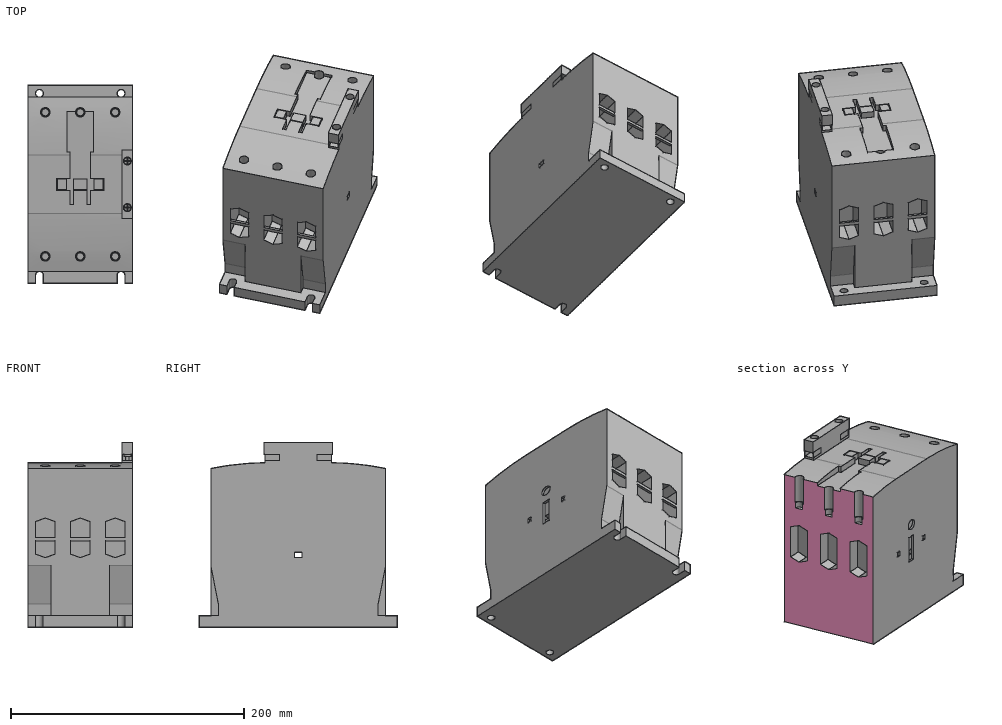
import cadquery as cq

WIDTH = 90.0
BASE_LENGTH = 170.0
BASE_HEIGHT = 10.0
MOUNT_X = 35.0
MOUNT_Y = 78.0
MOUNT_DIAMETER = 6.5

BODY_LENGTH = 150.0
ROOF_Z = 141.4
ROOF_RADIUS = 250.0
FLAT_HALF_LENGTH = 25.0

RELIEF_INNER_X = 25.0
RELIEF_DEPTH = 6.5
RELIEF_KNEE_Z = 20.0
RELIEF_TOP_Z = 52.9

POLE_PITCH = 30.0
SCREW_Y = 61.8
SCREW_HOLE_DIAMETER = 8.0
SCREW_HOLE_BOTTOM_Z = 115.0
SCREW_BORE_DIAMETER = 6.2
SCREW_BORE_DEPTH = 5.0
WINDOW_WIDTH = 16.4
WINDOW_TOP_Z = 93.8
WINDOW_BOTTOM_Z = 59.8
WINDOW_POINT_HEIGHT = 3.0
WINDOW_DEPTH = 25.0
BAR_BOTTOM_Z = 74.2
BAR_TOP_Z = 77.2
BAR_THICKNESS = 2.0

RECESS_DEPTH = 5.5
WIDE_HALF_WIDTH = 11.4
WIDE_END_Y = 62.6
WIDE_START_Y = 27.9
NARROW_HALF_WIDTH = 8.75
CROSS_HALF_WIDTH = 20.2
CROSS_HALF_LENGTH = 5.2
LEG_END_Y = -17.4
LEG_INNER_X = 5.6
PAD_GAP = 0.6
SIDE_PAD_INNER_X = 11.8

POCKET_DEPTH = 2.0
OVAL_Z = 89.0
OVAL_HALF_WIDTH = 5.05
OVAL_HALF_HEIGHT = 4.3
SLOT_WIDTH = 7.3
SLOT_BOTTOM_Z = 55.2
SLOT_TOP_Z = 78.0
PASSAGE_WIDTH = 6.4
PASSAGE_BOTTOM_Z = 60.0
PASSAGE_TOP_Z = 64.4
NICK_Y = 20.6
NICK_Z = 69.0
NICK_WIDTH = 3.6
NICK_HEIGHT = 4.1

AUX_WIDTH = 9.2
AUX_LENGTH = 58.8
AUX_TOP_Z = 158.8
AUX_STEP_Z = 148.4
AUX_FOOT_INSET = 0.7
AUX_ROOT_DEPTH = 5.0
AUX_SCREW_Y = 20.0
AUX_HOLE_DIAMETER = 6.8
AUX_NOTCH_WIDTH = 8.0
AUX_NOTCH_FLOOR_Z = 143.3
AUX_NOTCH_INNER_Y = 16.0
AUX_HEAD_DIAMETER = 6.0
AUX_HEAD_BOTTOM_Z = 146.5
AUX_HEAD_TOP_Z = 152.5
AUX_SHANK_DIAMETER = 3.0
CROSS_SLOT_WIDTH = 1.0
CROSS_SLOT_LENGTH = 4.6
CROSS_SLOT_DEPTH = 1.5

HALF_WIDTH = WIDTH / 2
HALF_BODY = BODY_LENGTH / 2
ENDS = (-1, 1)


def box(x0, x1, y0, y1, z0, z1):
    """Axis-aligned box between two corners."""
    return cq.Workplane("XY").box(x1 - x0, y1 - y0, z1 - z0, centered=False).translate((x0, y0, z0))


def cylinder(x, y, z0, z1, diameter):
    """Upright cylinder between two heights."""
    return cq.Workplane("XY", origin=(x, y, z0)).circle(diameter / 2).extrude(z1 - z0)


def roof_drop(y):
    """How far the roof arc lies below the flat roof at a given distance from the middle."""
    run = y - FLAT_HALF_LENGTH
    return ROOF_RADIUS - (ROOF_RADIUS**2 - run**2) ** 0.5


def make_base():
    plate = box(-HALF_WIDTH, HALF_WIDTH, -BASE_LENGTH / 2, BASE_LENGTH / 2, 0, BASE_HEIGHT)
    radius = MOUNT_DIAMETER / 2
    for side in ENDS:
        x = side * MOUNT_X
        plate = plate.cut(cylinder(x, MOUNT_Y, 0, BASE_HEIGHT, MOUNT_DIAMETER))
        plate = plate.cut(cylinder(x, -MOUNT_Y, 0, BASE_HEIGHT, MOUNT_DIAMETER))
        plate = plate.cut(box(x - radius, x + radius, -BASE_LENGTH / 2, -MOUNT_Y, 0, BASE_HEIGHT))
    return plate


def make_housing():
    mid_y = (FLAT_HALF_LENGTH + HALF_BODY) / 2
    mid_z = ROOF_Z - roof_drop(mid_y)
    eave_z = ROOF_Z - roof_drop(HALF_BODY)
    profile = (
        cq.Workplane("YZ", origin=(-HALF_WIDTH, 0, 0))
        .moveTo(-HALF_BODY, BASE_HEIGHT)
        .lineTo(HALF_BODY, BASE_HEIGHT)
        .lineTo(HALF_BODY, eave_z)
        .threePointArc((mid_y, mid_z), (FLAT_HALF_LENGTH, ROOF_Z))
        .lineTo(-FLAT_HALF_LENGTH, ROOF_Z)
        .threePointArc((-mid_y, mid_z), (-HALF_BODY, eave_z))
        .close()
    )
    return profile.extrude(WIDTH)


def make_corner_reliefs():
    """Tapered cuts over the mounting holes, one at each corner."""
    inner_y = HALF_BODY - RELIEF_DEPTH
    reliefs = []
    for end in ENDS:
        outline = [
            (end * HALF_BODY, BASE_HEIGHT),
            (end * inner_y, BASE_HEIGHT),
            (end * inner_y, RELIEF_KNEE_Z),
            (end * HALF_BODY, RELIEF_TOP_Z),
        ]
        for start_x in (-HALF_WIDTH, RELIEF_INNER_X):
            wedge = cq.Workplane("YZ", origin=(start_x, 0, 0)).polyline(outline).close()
            reliefs.append(wedge.extrude(HALF_WIDTH - RELIEF_INNER_X))
    return reliefs


def make_terminal(x, end):
    """Pointed wire window, split by a thin bar, and its screw hole in the roof."""
    half = WINDOW_WIDTH / 2
    outline = [
        (x - half, WINDOW_BOTTOM_Z + WINDOW_POINT_HEIGHT),
        (x, WINDOW_BOTTOM_Z),
        (x + half, WINDOW_BOTTOM_Z + WINDOW_POINT_HEIGHT),
        (x + half, WINDOW_TOP_Z - WINDOW_POINT_HEIGHT),
        (x, WINDOW_TOP_Z),
        (x - half, WINDOW_TOP_Z - WINDOW_POINT_HEIGHT),
    ]
    face = cq.Workplane("XZ", origin=(0, end * HALF_BODY, 0))
    window = face.polyline(outline).close().extrude(end * WINDOW_DEPTH)
    bar_y = sorted((end * HALF_BODY, end * (HALF_BODY - BAR_THICKNESS)))
    window = window.cut(box(x - half, x + half, bar_y[0], bar_y[1], BAR_BOTTOM_Z, BAR_TOP_Z))
    y = end * SCREW_Y
    hole = cylinder(x, y, SCREW_HOLE_BOTTOM_Z, ROOF_Z, SCREW_HOLE_DIAMETER)
    bore_bottom = SCREW_HOLE_BOTTOM_Z - SCREW_BORE_DEPTH
    bore = cylinder(x, y, bore_bottom, SCREW_HOLE_BOTTOM_Z, SCREW_BORE_DIAMETER)
    return window.union(hole).union(bore)


def make_roof_recess():
    """Keyhole-shaped channel ending in a crossbar with three standing pads and two legs."""
    floor_z = ROOF_Z - RECESS_DEPTH

    def area(x0, x1, y0, y1):
        return box(x0, x1, y0, y1, floor_z, ROOF_Z)

    recess = area(-WIDE_HALF_WIDTH, WIDE_HALF_WIDTH, WIDE_START_Y, WIDE_END_Y)
    recess = recess.union(area(-NARROW_HALF_WIDTH, NARROW_HALF_WIDTH, 0, WIDE_START_Y))
    recess = recess.union(
        area(-CROSS_HALF_WIDTH, CROSS_HALF_WIDTH, -CROSS_HALF_LENGTH, CROSS_HALF_LENGTH)
    )
    recess = recess.union(area(-NARROW_HALF_WIDTH, -LEG_INNER_X, LEG_END_Y, 0))
    recess = recess.union(area(LEG_INNER_X, NARROW_HALF_WIDTH, LEG_END_Y, 0))

    pad_y = CROSS_HALF_LENGTH - PAD_GAP
    pad_outer_x = CROSS_HALF_WIDTH - PAD_GAP
    recess = recess.cut(area(-LEG_INNER_X, LEG_INNER_X, -pad_y, pad_y))
    recess = recess.cut(area(-pad_outer_x, -SIDE_PAD_INNER_X, -pad_y, pad_y))
    return recess.cut(area(SIDE_PAD_INNER_X, pad_outer_x, -pad_y, pad_y))


def make_side_pockets():
    """Shallow oval, slot and two nicks in the -X face, with a passage right through the part."""
    floor_x = -HALF_WIDTH + POCKET_DEPTH
    face = cq.Workplane("YZ", origin=(-HALF_WIDTH, 0, 0))
    oval = face.center(0, OVAL_Z).ellipse(OVAL_HALF_WIDTH, OVAL_HALF_HEIGHT).extrude(POCKET_DEPTH)
    slot = box(-HALF_WIDTH, floor_x, -SLOT_WIDTH / 2, SLOT_WIDTH / 2, SLOT_BOTTOM_Z, SLOT_TOP_Z)
    half_passage = PASSAGE_WIDTH / 2
    passage = box(
        -HALF_WIDTH, HALF_WIDTH, -half_passage, half_passage, PASSAGE_BOTTOM_Z, PASSAGE_TOP_Z
    )
    nicks = (
        face.pushPoints([(-NICK_Y, NICK_Z), (NICK_Y, NICK_Z)])
        .rect(NICK_WIDTH, NICK_HEIGHT)
        .extrude(POCKET_DEPTH)
    )
    return slot.union(passage).union(oval).union(nicks)


def make_aux_screw(x, y):
    """Terminal screw with a cross slot, standing on the notch floor."""
    shank = cylinder(x, y, AUX_NOTCH_FLOOR_Z, AUX_HEAD_BOTTOM_Z, AUX_SHANK_DIAMETER)
    screw = shank.union(cylinder(x, y, AUX_HEAD_BOTTOM_Z, AUX_HEAD_TOP_Z, AUX_HEAD_DIAMETER))
    slots = cq.Workplane("XY", origin=(x, y, AUX_HEAD_TOP_Z - CROSS_SLOT_DEPTH))
    slot = slots.rect(CROSS_SLOT_LENGTH, CROSS_SLOT_WIDTH).extrude(CROSS_SLOT_DEPTH)
    cross_slot = slots.rect(CROSS_SLOT_WIDTH, CROSS_SLOT_LENGTH).extrude(CROSS_SLOT_DEPTH)
    return screw.cut(slot).cut(cross_slot)


def make_aux_block():
    inner_x = HALF_WIDTH - AUX_WIDTH
    half_top = AUX_LENGTH / 2
    half_foot = half_top - AUX_FOOT_INSET
    foot_z = ROOF_Z - AUX_ROOT_DEPTH
    center_x = HALF_WIDTH - AUX_WIDTH / 2
    block = box(inner_x, HALF_WIDTH, -half_top, half_top, AUX_STEP_Z, AUX_TOP_Z)
    block = block.union(box(inner_x, HALF_WIDTH, -half_foot, half_foot, foot_z, AUX_STEP_Z))
    half_notch = AUX_NOTCH_WIDTH / 2
    for end in ENDS:
        y = end * AUX_SCREW_Y
        notch_y = sorted((end * AUX_NOTCH_INNER_Y, end * half_foot))
        notch = box(
            center_x - half_notch,
            center_x + half_notch,
            notch_y[0],
            notch_y[1],
            AUX_NOTCH_FLOOR_Z,
            AUX_STEP_Z,
        )
        block = block.cut(notch)
        block = block.cut(cylinder(center_x, y, AUX_STEP_Z, AUX_TOP_Z, AUX_HOLE_DIAMETER))
        block = block.union(make_aux_screw(center_x, y))
    return block


result = make_base().union(make_housing())
for relief in make_corner_reliefs():
    result = result.cut(relief)
for row_end in ENDS:
    for pole in (-1, 0, 1):
        result = result.cut(make_terminal(pole * POLE_PITCH, row_end))
result = result.cut(make_roof_recess())
result = result.cut(make_side_pockets())
result = result.union(make_aux_block()).solids()